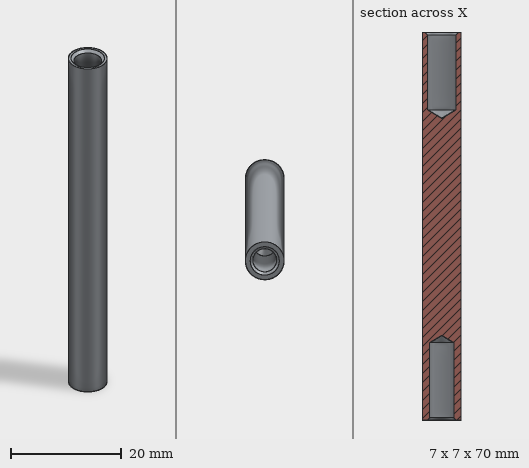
import cadquery as cq
import math

length = 70.0
outer_diameter = 7.0

top_hole_diameter = 5.0
top_countersink_diameter = 6.0
bottom_hole_diameter = 4.3
bottom_countersink_diameter = 5.25
hole_depth = 14.0
drill_tip_angle = 118.0


def drilled_hole(diameter, countersink_diameter):
    """Solid of a countersunk blind hole that opens at Z = 0 and runs up along +Z."""
    radius = diameter / 2
    countersink_radius = countersink_diameter / 2
    countersink_depth = countersink_radius - radius
    tip_height = radius / math.tan(math.radians(drill_tip_angle / 2))
    half_profile = (
        cq.Workplane("XZ")
        .lineTo(countersink_radius, 0)
        .lineTo(radius, countersink_depth)
        .lineTo(radius, hole_depth)
        .lineTo(0, hole_depth + tip_height)
        .close()
    )
    return half_profile.revolve(360, (0, 0, 0), (0, 1, 0))


rod = cq.Workplane("XY").circle(outer_diameter / 2).extrude(length)

bottom_hole = drilled_hole(bottom_hole_diameter, bottom_countersink_diameter)
top_hole = (
    drilled_hole(top_hole_diameter, top_countersink_diameter)
    .mirror("XY")
    .translate((0, 0, length))
)

result = rod.cut(bottom_hole).cut(top_hole)